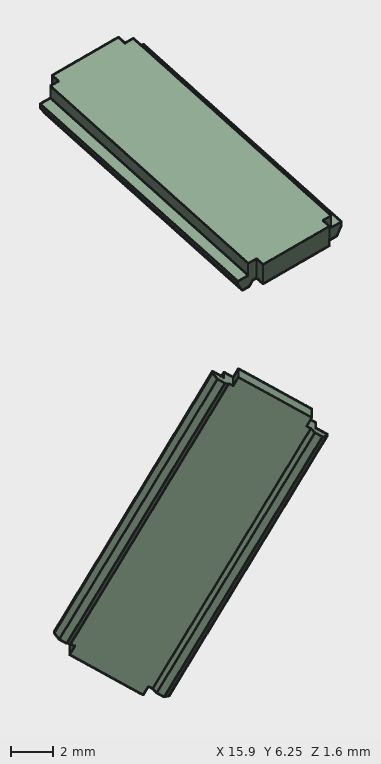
import cadquery as cq

length = 15.9
width = 6.25
height = 1.6

rail_length = 14.91
body_width = 5.01
rail_top = 0.8
rail_side_bottom = 0.54
foot_outer_width = 5.71
foot_inner_width = 4.9
underside = 0.29
underside_width = 4.45

tongue_width = 4.0


def rail_body():
    """Extrude the symmetric cross-section along X, centred on the origin."""
    half_profile = [
        (underside_width / 2, underside),
        (foot_inner_width / 2, 0),
        (foot_outer_width / 2, 0),
        (width / 2, rail_side_bottom),
        (width / 2, rail_top),
        (body_width / 2, rail_top),
        (body_width / 2, height),
    ]
    mirrored = [(-y, z) for y, z in reversed(half_profile)]
    profile = cq.Workplane("YZ").polyline(half_profile + mirrored).close()
    return profile.extrude(rail_length / 2, both=True)


def end_tongues():
    """Full-length block whose two ends stick out past the rails."""
    block = cq.Workplane("XY").workplane(offset=underside)
    return block.rect(length, tongue_width).extrude(height - underside)


result = rail_body().union(end_tongues())